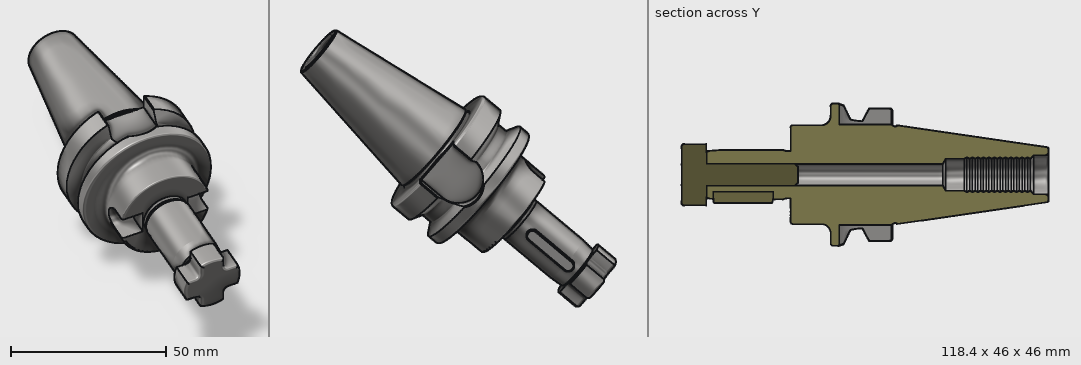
import cadquery as cq
import math


taper_length = 48.9
flange_start = 50.3
flange_end = 70.3
nose_end = 83.2
spigot_start = 85.7
lead_in_start = 105.3
spigot_end = 110.3
overall_length = 118.4

taper_ratio = 7 / 24
taper_large_radius = 16.0
taper_small_radius = taper_large_radius - taper_ratio * taper_length / 2
taper_end_chamfer = 0.4
relief_depth = 0.4
relief_fillet = 0.7

flange_diameter = 46.0
flange_radius = flange_diameter / 2
flange_edge_fillet = 1.0
gripper_root_radius = 19.1
gripper_start = 57.8
gripper_end = 66.2
gripper_root_fillet = 0.5
gripper_angle = 30.0
gripper_run = (flange_radius - gripper_root_radius) * math.tan(math.radians(gripper_angle))

drive_slot_width = 16.1
drive_slot_floor = 16.2
drive_slot_end = 67.5
drive_slot_chamfer = 0.4
mouth_bevel_angle = 45.0

nose_radius = 16.0
nose_root_fillet = 3.0
nose_edge_fillet = 0.7
nose_slot_width = 8.3
nose_slot_floor = 8.0
nose_slot_start = 74.2

spigot_radius = 8.0
undercut_radius = 7.7
undercut_end = 84.7
lead_in_radius = 7.7
spigot_chamfer = 0.5

pilot_radius = 6.3
bore_mouth_fillet = 1.1
pilot_depth = 4.7
tapped_radius = 5.1
tapped_depth = 33.2
thread_pitch = 1.8
thread_major_radius = 5.6
thread_count = 12
drill_point_angle = 60.0

key_width = 4.0
key_start = 88.9
key_end = 108.1
key_floor = 5.6
key_top = 9.1
key_chamfer = 0.4

shank_radius = 3.4
shank_length = 29.6
shank_chamfer = 0.8
head_diameter = 20.0
lobe_width = 8.3
lobe_root_fillet = 1.8
head_edge_fillet = 1.1

MATCH = 0.01


def slot_cutter(width, floor, start, end, round_at_end):
    """Slot along X standing on the plane Z = floor, rounded at its +X end or else at its -X end."""
    centre = end - width / 2 if round_at_end else start + width / 2
    length = centre - start if round_at_end else end - centre
    box_start = start if round_at_end else centre
    plane = cq.Workplane("XY").workplane(offset=floor)
    straight = plane.center(box_start + length / 2, 0).rect(length, width).extrude(flange_radius)
    return straight.union(plane.center(centre, 0).circle(width / 2).extrude(flange_radius))


def fillet_rings(body, fillet_radius, rings):
    """Round the circular edges given as (position along X, radius)."""
    def is_listed(edge):
        return any(
            abs(edge.Center().x - x) < MATCH and abs(edge.radius() - ring_radius) < MATCH
            for x, ring_radius in rings
        )

    return body.edges("%CIRCLE").filter(is_listed).fillet(fillet_radius)


def holder_body():
    """Revolved outer shape of shank, flange, nose and spigot."""
    relief_radius = taper_large_radius - relief_depth
    gripper_root_start = gripper_start + gripper_run
    gripper_root_end = gripper_end - gripper_run
    profile = (
        cq.Workplane("XZ")
        .moveTo(0, 0)
        .lineTo(0, taper_small_radius - taper_end_chamfer)
        .lineTo(taper_end_chamfer, taper_small_radius + taper_end_chamfer * taper_ratio / 2)
        .lineTo(taper_length, taper_large_radius)
        .lineTo(taper_length + relief_depth, relief_radius)
        .lineTo(flange_start, relief_radius)
        .lineTo(flange_start, flange_radius)
        .lineTo(gripper_start, flange_radius)
        .lineTo(gripper_root_start, gripper_root_radius)
        .lineTo(gripper_root_end, gripper_root_radius)
        .lineTo(gripper_end, flange_radius)
        .lineTo(flange_end, flange_radius)
        .lineTo(flange_end, nose_radius)
        .lineTo(nose_end, nose_radius)
        .lineTo(nose_end, undercut_radius)
        .lineTo(undercut_end, undercut_radius)
        .lineTo(spigot_start, spigot_radius)
        .lineTo(lead_in_start, spigot_radius)
        .lineTo(spigot_end - spigot_chamfer, lead_in_radius)
        .lineTo(spigot_end, lead_in_radius - spigot_chamfer)
        .lineTo(spigot_end, 0)
        .close()
    )
    body = profile.revolve(360, (0, 0, 0), (1, 0, 0))
    body = fillet_rings(body, relief_fillet, [(flange_start, relief_radius)])
    body = fillet_rings(
        body, flange_edge_fillet, [(flange_start, flange_radius), (flange_end, flange_radius)]
    )
    body = fillet_rings(
        body,
        gripper_root_fillet,
        [(gripper_root_start, gripper_root_radius), (gripper_root_end, gripper_root_radius)],
    )
    body = fillet_rings(body, nose_root_fillet, [(flange_end, nose_radius)])
    return fillet_rings(body, nose_edge_fillet, [(nose_end, nose_radius)])


def rear_bore():
    """Stepped bore from the small end of the taper, with a rounded mouth."""
    mouth_mid = bore_mouth_fillet * (1 - math.sqrt(0.5))
    step = pilot_radius - tapped_radius
    point_length = tapped_radius / math.tan(math.radians(drill_point_angle))
    profile = (
        cq.Workplane("XZ")
        .moveTo(0, 0)
        .lineTo(0, pilot_radius + bore_mouth_fillet)
        .threePointArc((mouth_mid, pilot_radius + mouth_mid), (bore_mouth_fillet, pilot_radius))
        .lineTo(pilot_depth, pilot_radius)
        .lineTo(pilot_depth + step, tapped_radius)
        .lineTo(tapped_depth, tapped_radius)
        .lineTo(tapped_depth + point_length, 0)
        .close()
    )
    return profile.revolve(360, (0, 0, 0), (1, 0, 0))


def thread_grooves():
    """V-shaped rings standing for the internal thread of the rear bore."""
    start = pilot_depth + pilot_radius - tapped_radius
    profile = cq.Workplane("XZ").moveTo(start, 0).lineTo(start, tapped_radius)
    for turn in range(thread_count):
        groove_start = start + turn * thread_pitch
        profile = profile.lineTo(groove_start + thread_pitch / 2, thread_major_radius)
        profile = profile.lineTo(groove_start + thread_pitch, tapped_radius)
    profile = profile.lineTo(start + thread_count * thread_pitch, 0).close()
    return profile.revolve(360, (0, 0, 0), (1, 0, 0))


def screw_hole():
    """Hole for the screw shank, from the spigot end through to the rear bore."""
    length = spigot_end - tapped_depth
    return cq.Workplane("YZ").workplane(offset=tapped_depth).circle(shank_radius).extrude(length)


def key_blank():
    """Round-ended key below the axis, before its edges are broken."""
    return (
        cq.Workplane("XY")
        .workplane(offset=-key_top)
        .center((key_start + key_end) / 2, 0)
        .slot2D(key_end - key_start, key_width)
        .extrude(key_top - key_floor)
    )


def drive_slot_mouth():
    """Bevelled entry of a drive slot at the rear face of the flange."""
    width = drive_slot_width + 2 * drive_slot_chamfer
    bottom = drive_slot_floor - drive_slot_chamfer
    plane = cq.Workplane("YZ").workplane(offset=flange_start).center(0, bottom + flange_radius / 2)
    bevel = plane.rect(width, flange_radius).extrude(drive_slot_chamfer, taper=mouth_bevel_angle)
    return bevel.union(plane.rect(width, flange_radius).extrude(-relief_fillet))


def is_slot_rim_edge(edge):
    """True for the edges where a drive slot breaks through the flange's rim."""
    middle = edge.positionAt(0.5)
    on_rim = abs(math.hypot(middle.y, middle.z) - flange_radius) < MATCH
    on_wall = abs(abs(middle.y) - drive_slot_width / 2) < MATCH and abs(middle.z) > drive_slot_floor
    on_round_end = middle.x < drive_slot_end + MATCH and edge.geomType() == "BSPLINE"
    return on_rim and (on_wall or on_round_end)


def make_holder():
    holder = holder_body().cut(rear_bore()).cut(thread_grooves()).cut(screw_hole()).cut(key_blank())
    drive_slot = slot_cutter(drive_slot_width, drive_slot_floor, flange_start, drive_slot_end, True)
    drive_slot = drive_slot.union(drive_slot_mouth())
    nose_slot = slot_cutter(nose_slot_width, nose_slot_floor, nose_slot_start, nose_end, False)
    for turn in (0, 180):
        holder = holder.cut(drive_slot.rotate((0, 0, 0), (1, 0, 0), turn))
        holder = holder.cut(nose_slot.rotate((0, 0, 0), (1, 0, 0), turn + 90))
    return holder.edges().filter(is_slot_rim_edge).chamfer(drive_slot_chamfer)


def make_key():
    return key_blank().faces("<Z").edges().chamfer(key_chamfer)


def make_screw():
    """Screw with a cross-shaped head of four lobes."""
    head_length = overall_length - spigot_end
    head_plane = cq.Workplane("YZ").workplane(offset=spigot_end)
    cross = head_plane.rect(lobe_width, head_diameter).extrude(head_length)
    cross = cross.union(head_plane.rect(head_diameter, lobe_width).extrude(head_length))
    root = lobe_width / 2
    root_edges = cq.selectors.BoxSelector(
        (spigot_end, -root - MATCH, -root - MATCH), (overall_length, root + MATCH, root + MATCH)
    )
    cross = cross.edges("|X").edges(root_edges).fillet(lobe_root_fillet)
    disc = head_plane.circle(head_diameter / 2).extrude(head_length)
    head = cross.intersect(disc).faces(">X").edges().fillet(head_edge_fillet)
    shank = cq.Workplane("YZ").workplane(offset=spigot_end - shank_length).circle(shank_radius)
    shank = shank.extrude(shank_length).faces("<X").chamfer(shank_chamfer)
    return head.union(shank)


holder = make_holder()
key = make_key()
screw = make_screw()

result = cq.Compound.makeCompound([holder.val(), key.val(), screw.val()])